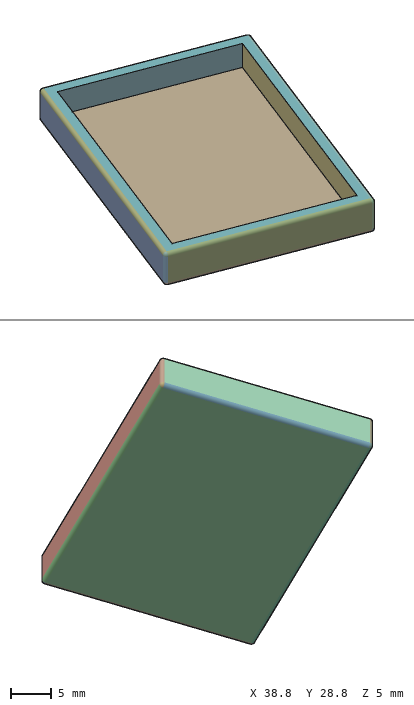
import cadquery as cq

length = 38.8
width = 28.8
height = 5.0

wall = 1.8
floor = 1.3
edge_radius = 0.5

body = cq.Workplane("XY").box(length, width, height, centered=(True, True, False))
body = body.edges().fillet(edge_radius)

pocket = (
    cq.Workplane("XY")
    .workplane(offset=floor)
    .rect(length - 2 * wall, width - 2 * wall)
    .extrude(height - floor)
)

result = body.cut(pocket)